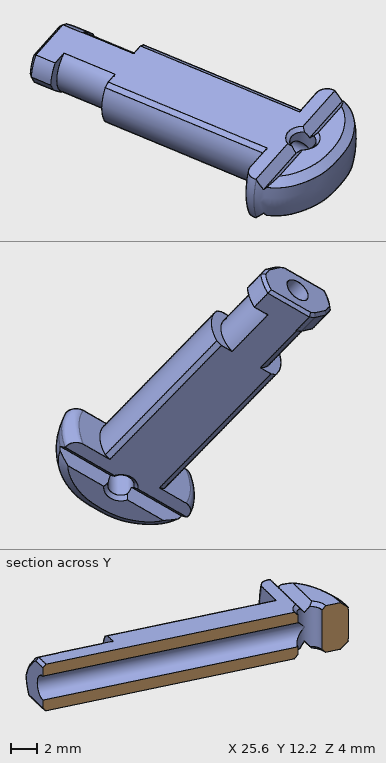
import cadquery as cq

length = 25.62
thickness = 4.0
half_thickness = thickness / 2

tip_end = 1.97
neck_end = 6.5
head_start = 20.62

shaft_radius = 3.3
neck_radius = 2.4
shaft_bevel_width = 0.28
shaft_bevel_height = 0.23
tip_chamfer = 0.25

cut_top_y = 1.3
flat_upper_point = (1.82, 1.7)
flat_lower_point = (2.87, 0.65)
facet_z = -0.23

back_flat_radius = 5.28
back_corner_end = (21.73, 6.1)
back_corner_middle = (20.9, 5.87)
side_middle = (23.72, 5.12)
front_shoulder = (25.2, 2.97)
side_direction = (1, -0.3)
rim_drop = 0.56
rim_width = 0.6

groove_x = 22.37
groove_half_width = 0.67
groove_depth = 0.77
bore_diameter = 2.0
bore_radius = bore_diameter / 2
countersink_radius = 1.3
countersink_depth = countersink_radius - bore_radius


def full_width_slab(start, end):
    """Block of the part's thickness between two X stations, wider than the part."""
    block = cq.Workplane("XY").box(end - start, length, thickness)
    return block.translate(((start + end) / 2, 0, 0))


def flat_sided_rod(radius, start, end):
    """Round rod along X with a flat at the top and at the bottom."""
    rod = cq.Workplane("YZ").workplane(offset=start).circle(radius).extrude(end - start)
    return rod.intersect(full_width_slab(start, end))


def make_tip():
    """Locking tip with two diagonally opposite corners cut off and its front edge chamfered."""
    clear = shaft_radius + 0.25
    facet_y = (shaft_radius**2 - facet_z**2) ** 0.5
    corner_cut = (
        cq.Workplane("YZ")
        .polyline([
            (cut_top_y, half_thickness),
            flat_upper_point,
            flat_lower_point,
            (facet_y, facet_z),
            (clear, facet_z),
            (clear, clear),
            (cut_top_y, clear),
        ])
        .close()
        .extrude(tip_end)
    )
    tip = flat_sided_rod(shaft_radius, 0, tip_end)
    for turn in (0, 180):
        tip = tip.cut(corner_cut.rotate((0, 0, 0), (1, 0, 0), turn))
    return tip.faces("<X").chamfer(tip_chamfer)


def make_shaft():
    """Main shaft with the edges between its round sides and its flats bevelled."""
    flat_half_width = (shaft_radius**2 - half_thickness**2) ** 0.5
    flat_edge = flat_half_width - shaft_bevel_width
    bevel_z = half_thickness - shaft_bevel_height
    bevel_y = (shaft_radius**2 - bevel_z**2) ** 0.5
    profile = (
        cq.Workplane("YZ")
        .workplane(offset=neck_end)
        .moveTo(-flat_edge, half_thickness)
        .lineTo(flat_edge, half_thickness)
        .lineTo(bevel_y, bevel_z)
        .threePointArc((shaft_radius, 0), (bevel_y, -bevel_z))
        .lineTo(flat_edge, -half_thickness)
        .lineTo(-flat_edge, -half_thickness)
        .lineTo(-bevel_y, -bevel_z)
        .threePointArc((-shaft_radius, 0), (-bevel_y, bevel_z))
        .close()
    )
    return profile.extrude(groove_x - neck_end)


def make_head():
    """Dome revolved about X, trimmed to the part's thickness; the rim in front of the groove is bevelled."""
    dome = (
        cq.Workplane("XY")
        .moveTo(head_start, 0)
        .lineTo(head_start, back_flat_radius)
        .threePointArc(back_corner_middle, back_corner_end)
        .spline(
            [side_middle, front_shoulder, (length, 0)],
            tangents=[side_direction, (0, -1)],
            includeCurrent=True,
        )
        .close()
        .revolve(360, (0, 0, 0), (1, 0, 0))
    )
    back = dome.intersect(full_width_slab(head_start, groove_x))
    front = dome.intersect(full_width_slab(groove_x, length))
    for face in (">Z", "<Z"):
        front = front.faces(face).edges("not |Y").chamfer(rim_drop, rim_width)
    return back.union(front)


def make_grooves():
    """V-grooves across the full width of the head, at the top and at the bottom."""
    top = (
        cq.Workplane("XZ")
        .polyline([
            (groove_x - groove_half_width, half_thickness),
            (groove_x + groove_half_width, half_thickness),
            (groove_x, half_thickness - groove_depth),
        ])
        .close()
        .extrude(length, both=True)
    )
    return top.union(top.mirror("XY"))


def make_cross_bore():
    """Through bore along Z, countersunk at both ends."""
    half_profile = (
        cq.Workplane("XZ")
        .polyline([
            (0, half_thickness),
            (countersink_radius, half_thickness),
            (bore_radius, half_thickness - countersink_depth),
            (bore_radius, countersink_depth - half_thickness),
            (countersink_radius, -half_thickness),
            (0, -half_thickness),
        ])
        .close()
    )
    return half_profile.revolve(360, (0, 0, 0), (0, 1, 0)).translate((groove_x, 0, 0))


axial_bore = cq.Workplane("YZ").circle(bore_radius).extrude(groove_x)

result = (
    make_tip()
    .union(flat_sided_rod(neck_radius, tip_end, neck_end))
    .union(make_shaft())
    .union(make_head())
    .cut(make_grooves())
    .cut(make_cross_bore())
    .cut(axial_bore)
)